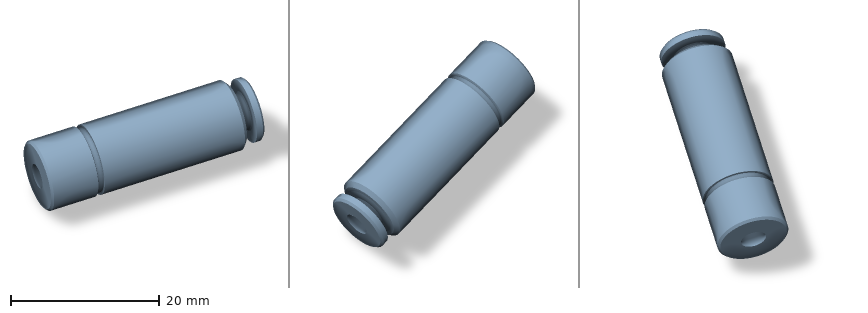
import cadquery as cq

length = 31.6
body_radius = 9.95 / 2
bore_radius = 3.5 / 2
edge_chamfer = 0.32

groove_radius = 9.2 / 2
groove_front = 6.83
groove_back = 7.77
groove_bevel_length = 0.15

shoulder_start = 28.4
shoulder_length = 0.57
shoulder_radius = body_radius - 0.63
shoulder_end = shoulder_start + shoulder_length
cone_radius = 3.7
cone_length = 0.22

neck_radius = 5.2 / 2
flange_radius = 9.0 / 2
flange_front = length - 1.2
flare_length = 0.15
flare_radius = neck_radius + 0.2

half_section = [
    (bore_radius, 0),
    (body_radius - edge_chamfer, 0),
    (body_radius, edge_chamfer),
    (body_radius, groove_front),
    (groove_radius, groove_front + groove_bevel_length),
    (groove_radius, groove_back),
    (body_radius, groove_back),
    (body_radius, shoulder_start),
    (shoulder_radius, shoulder_end),
    (cone_radius, shoulder_end),
    (neck_radius, shoulder_end + cone_length),
    (neck_radius, flange_front - flare_length),
    (flare_radius, flange_front),
    (flange_radius, flange_front),
    (flange_radius, length - edge_chamfer),
    (flange_radius - edge_chamfer, length),
    (bore_radius, length),
]

result = (
    cq.Workplane("XY")
    .polyline(half_section)
    .close()
    .revolve(360, (0, 0, 0), (0, 1, 0))
)